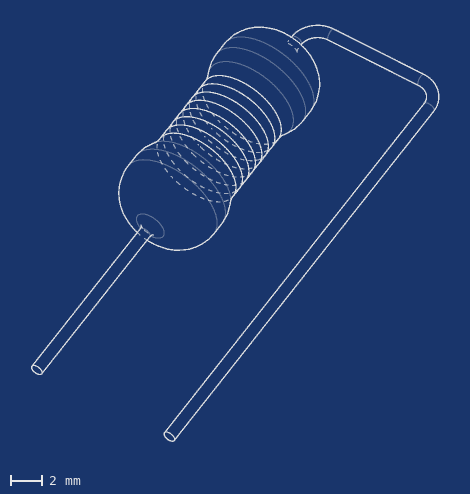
import cadquery as cq
import math


overall_length = 33.1
body_length = 16.5
cap_diameter = 7.0
neck_diameter = 5.95
band_diameter = 5.97
lead_diameter = 0.8
lead_pitch = 10.0
bend_radius = 1.6
meniscus_radius = 0.65
meniscus_to_bend = 0.35
cap_land_length = 1.0
shoulder_length = 2.08
band_count = 4

cap_radius = cap_diameter / 2
neck_radius = neck_diameter / 2
lead_radius = lead_diameter / 2
half_body = body_length / 2
flare_radius = lead_radius + meniscus_radius
cap_round_radius = cap_radius - flare_radius
cos_45 = math.cos(math.pi / 4)
land_outer = half_body - cap_round_radius
cap_arc_x = flare_radius + cap_round_radius * cos_45
cap_arc_y = land_outer + cap_round_radius * cos_45
land_inner = land_outer - cap_land_length
neck_half_length = land_inner - shoulder_length
shoulder_middle = (neck_half_length + land_inner) / 2
mean_radius = (neck_radius + cap_radius) / 2
flare_end = half_body + meniscus_radius
bend_start = flare_end + meniscus_to_bend
crossbar_y = bend_start + bend_radius
lead_tip_y = crossbar_y + lead_radius - overall_length
band_pitch = 2 * neck_half_length / (2 * band_count - 1)


def body_of_revolution():
    """Both end caps, the neck between them and the lead flares, in one turned profile."""
    profile = (
        cq.Workplane("XY")
        .moveTo(0, -flare_end)
        .lineTo(lead_radius, -flare_end)
        .radiusArc((flare_radius, -half_body), meniscus_radius)
        .threePointArc((cap_arc_x, -cap_arc_y), (cap_radius, -land_outer))
        .lineTo(cap_radius, -land_inner)
        .tangentArcPoint((mean_radius, -shoulder_middle), relative=False)
        .tangentArcPoint((neck_radius, -neck_half_length), relative=False)
        .lineTo(neck_radius, neck_half_length)
        .tangentArcPoint((mean_radius, shoulder_middle), relative=False)
        .tangentArcPoint((cap_radius, land_inner), relative=False)
        .lineTo(cap_radius, land_outer)
        .threePointArc((cap_arc_x, cap_arc_y), (flare_radius, half_body))
        .radiusArc((lead_radius, flare_end), meniscus_radius)
        .lineTo(0, flare_end)
        .close()
    )
    return profile.revolve(360, (0, 0, 0), (0, 1, 0))


def cylinder_along_y(radius, y_start, y_end):
    """Solid cylinder on the body axis between two Y positions."""
    return cq.Workplane("XZ", origin=(0, y_start, 0)).circle(radius).extrude(y_start - y_end)


def add_bands(body):
    """Thin raised colour bands, separated by gaps as wide as the bands."""
    for index in range(band_count):
        start = -neck_half_length + 2 * index * band_pitch
        band = cylinder_along_y(band_diameter / 2, start, start + band_pitch)
        body = body.union(band)
    return body


def bent_lead():
    """Lead leaving the +Y end, turning twice and running back towards -Y."""
    bend_inset = bend_radius * (1 - cos_45)
    path = (
        cq.Workplane("XY")
        .moveTo(0, flare_end)
        .lineTo(0, bend_start)
        .threePointArc((bend_inset, crossbar_y - bend_inset), (bend_radius, crossbar_y))
        .lineTo(lead_pitch - bend_radius, crossbar_y)
        .threePointArc((lead_pitch - bend_inset, crossbar_y - bend_inset), (lead_pitch, bend_start))
        .lineTo(lead_pitch, lead_tip_y)
    )
    return cq.Workplane("XZ", origin=(0, flare_end, 0)).circle(lead_radius).sweep(path)


body = add_bands(body_of_revolution())
straight_lead = cylinder_along_y(lead_radius, lead_tip_y, -flare_end)

result = body.union(straight_lead).union(bent_lead())